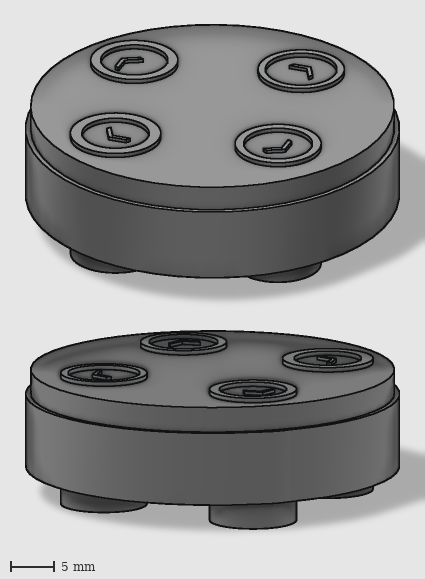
import cadquery as cq
import math

BASE_BOTTOM = 3.52
LID_BOTTOM = 12.05
LID_TOP = 14.95
TOTAL_HEIGHT = 15.5
RIM_HEIGHT = TOTAL_HEIGHT - LID_TOP

BASE_DIAMETER = 43.3
LID_DIAMETER = 42.1

BULGE_REACH = 21.83
BULGE_BACK_Y = 1.2
BULGE_FRONT_Y = -2.83

ARROW_HALF_SPAN = 1.83
ARROW_RISE = 1.15
ARROW_THICKNESS = 0.6
ARROW_HEIGHT = 0.4

BUTTONS = [
    {"center": (-0.45, 13.3), "outer": 10.0, "inner": 8.3, "angle": 90, "tip": (0.05, 1.4)},
    {"center": (-14.15, -0.52), "outer": 10.1, "inner": 7.8, "angle": 180, "tip": (-1.45, -0.75)},
    {"center": (-0.45, -13.83), "outer": 10.5, "inner": 7.8, "angle": 270, "tip": (0.05, -1.05)},
    {"center": (13.17, -0.55), "outer": 9.95, "inner": 7.95, "angle": 0, "tip": (1.5, -0.15)},
]


def disc(center, diameter, bottom, height):
    """Upright cylinder standing on the level `bottom`."""
    return cq.Workplane("XY", origin=(*center, bottom)).circle(diameter / 2).extrude(height)


def make_bulge():
    """Arc-faced strip that stands slightly proud of the base wall."""
    radius = BASE_DIAMETER / 2
    middle_y = (BULGE_BACK_Y + BULGE_FRONT_Y) / 2
    back = (-math.sqrt(radius**2 - BULGE_BACK_Y**2), BULGE_BACK_Y)
    front = (-math.sqrt(radius**2 - BULGE_FRONT_Y**2), BULGE_FRONT_Y)
    return (
        cq.Workplane("XY", origin=(0, 0, BASE_BOTTOM))
        .moveTo(*back)
        .threePointArc((-BULGE_REACH, middle_y), front)
        .lineTo(0, middle_y)
        .close()
        .extrude(LID_BOTTOM - BASE_BOTTOM)
    )


def make_base():
    """Round base with its side bulge and four posts underneath."""
    base = disc((0, 0), BASE_DIAMETER, BASE_BOTTOM, LID_BOTTOM - BASE_BOTTOM).union(make_bulge())
    for button in BUTTONS:
        base = base.union(disc(button["center"], button["outer"], 0, BASE_BOTTOM))
    return base


def make_rim(button):
    """Raised ring around one button."""
    outer = disc(button["center"], button["outer"], LID_TOP, RIM_HEIGHT)
    return outer.cut(disc(button["center"], button["inner"], LID_TOP, RIM_HEIGHT))


def make_arrow(button):
    """Chevron inside one rim, pointing outwards."""
    tip_x = button["center"][0] + button["tip"][0]
    tip_y = button["center"][1] + button["tip"][1]
    return (
        cq.Workplane("XY")
        .polyline([
            (0, 0),
            (-ARROW_RISE, ARROW_HALF_SPAN),
            (-ARROW_RISE - ARROW_THICKNESS, ARROW_HALF_SPAN),
            (-ARROW_THICKNESS, 0),
            (-ARROW_RISE - ARROW_THICKNESS, -ARROW_HALF_SPAN),
            (-ARROW_RISE, -ARROW_HALF_SPAN),
        ])
        .close()
        .extrude(ARROW_HEIGHT)
        .rotate((0, 0, 0), (0, 0, 1), button["angle"])
        .translate((tip_x, tip_y, LID_TOP))
    )


def make_lid():
    """Round lid carrying the button rims and arrows."""
    lid = disc((0, 0), LID_DIAMETER, LID_BOTTOM, LID_TOP - LID_BOTTOM)
    for button in BUTTONS:
        lid = lid.union(make_rim(button)).union(make_arrow(button))
    return lid


base = make_base()
lid = make_lid()
result = cq.Compound.makeCompound([base.solids().val(), lid.solids().val()])